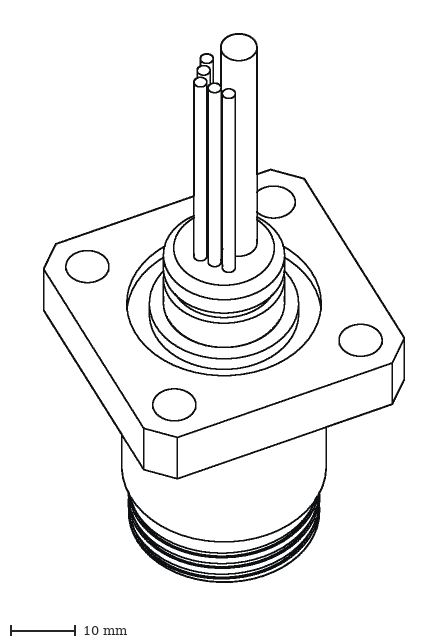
import cadquery as cq
total_height = 105.7
wire_top = 100.7
neck_top = 60.7
neck_groove_top = 56.0
neck_groove_bottom = 53.7
flange_top = 47.9
flange_bottom = 38.4
barrel_bottom = 10.5

flange_side = 44.4
corner_chamfer = 3.9
mount_hole_spacing = 31.7
mount_hole_diameter = 6.7

recess_diameter = 30.0
recess_depth = 2.4
recess_floor = flange_top - recess_depth
collar_diameter = 23.0

neck_diameter = 18.7
neck_groove_diameter = 16.4
neck_chamfer = 1.6
neck_foot_chamfer = 0.2

barrel_diameter = 31.6
thread_diameter = 29.5
thread_pitch = 2.4
thread_top = 7.0
thread_turns = 3.25
thread_end_angle = 90
thread_groove_width = 1.1
thread_groove_depth = 0.3

cable_diameter = 5.6
cable_y = 2.5
wire_diameter = 2.0
wire_tip_y = -4.0
wire_step_x = 2.0
wire_step_y = 1.5
wires_per_arm = 2


def cylinder(diameter, bottom, top, x=0, y=0):
    """Upright cylinder between two heights."""
    base = cq.Workplane("XY", origin=(x, y, bottom))
    return base.circle(diameter / 2).extrude(top - bottom)


def make_flange():
    """Square plate with cut corners, four through holes and a round recess."""
    plate = (
        cq.Workplane("XY", origin=(0, 0, flange_bottom))
        .rect(flange_side, flange_side)
        .extrude(flange_top - flange_bottom)
        .edges("|Z")
        .chamfer(corner_chamfer)
        .faces(">Z")
        .workplane()
        .rect(mount_hole_spacing, mount_hole_spacing, forConstruction=True)
        .vertices()
        .hole(mount_hole_diameter)
    )
    return plate.cut(cylinder(recess_diameter, recess_floor, flange_top))


def make_neck():
    """Collar and neck rising from the recess, with a ring groove and a chamfered top."""
    collar = cylinder(collar_diameter, recess_floor, flange_top)
    neck = (
        cylinder(neck_diameter, flange_top, neck_top)
        .faces(">Z")
        .chamfer(neck_chamfer)
        .faces("<Z")
        .chamfer(neck_foot_chamfer)
    )
    ring = cylinder(neck_diameter, neck_groove_bottom, neck_groove_top)
    ring = ring.cut(cylinder(neck_groove_diameter, neck_groove_bottom, neck_groove_top))
    return collar.union(neck.cut(ring))


def make_threaded_end():
    """Cylinder with a right-hand flat-bottomed helical groove running out at its lower end."""
    radius = thread_diameter / 2
    start = thread_top - thread_turns * thread_pitch
    start_angle = thread_end_angle - 360 * thread_turns
    helix = cq.Wire.makeHelix(thread_pitch, thread_turns * thread_pitch, radius)
    groove = (
        cq.Workplane("XZ", origin=(radius, 0, 0))
        .rect(2 * thread_groove_depth, thread_groove_width)
        .sweep(cq.Workplane(helix), isFrenet=True)
        .rotate((0, 0, 0), (0, 0, 1), start_angle)
        .translate((0, 0, start))
    )
    return cylinder(thread_diameter, 0, barrel_bottom).cut(groove)


def make_wires():
    """Thick cable plus thin wires arranged in a V."""
    wires = cylinder(cable_diameter, neck_top, total_height, y=cable_y)
    for step in range(-wires_per_arm, wires_per_arm + 1):
        x = step * wire_step_x
        y = wire_tip_y + abs(step) * wire_step_y
        wires = wires.union(cylinder(wire_diameter, neck_top, wire_top, x, y))
    return wires


result = (
    make_flange()
    .union(cylinder(barrel_diameter, barrel_bottom, flange_bottom))
    .union(make_threaded_end())
    .union(make_neck())
    .union(make_wires())
)